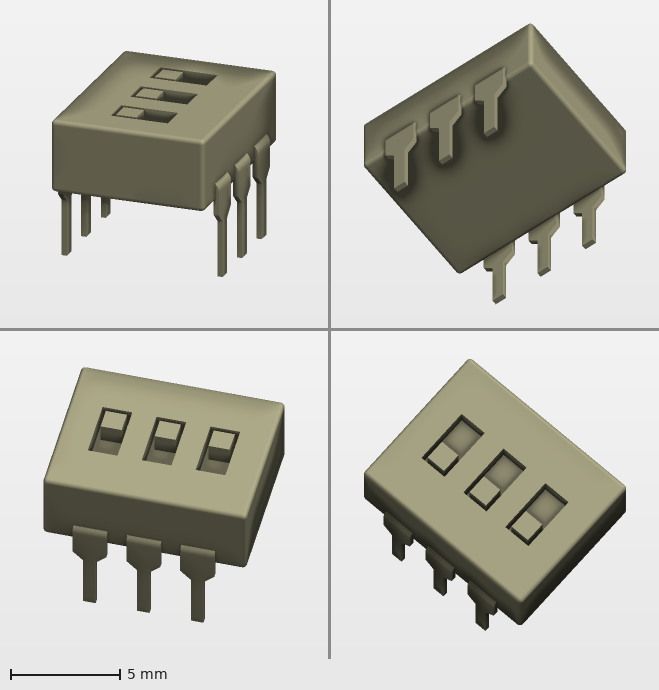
import cadquery as cq

HOUSING_LENGTH = 9.6
HOUSING_WIDTH = 7.5
HOUSING_HEIGHT = 3.5
EDGE_RADIUS = 0.2

POSITION_COUNT = 3
POSITION_PITCH = 2.54
POSITIONS_Y = [
    (index - (POSITION_COUNT - 1) / 2) * POSITION_PITCH
    for index in range(POSITION_COUNT)
]

KNOB_SIZE = 1.0
KNOB_GAP = 0.2
WINDOW_LENGTH = 2.8
WINDOW_WIDTH = KNOB_SIZE + 2 * KNOB_GAP
WINDOW_DEPTH = 0.9
FLOOR_Z = HOUSING_HEIGHT - WINDOW_DEPTH
KNOB_X = -WINDOW_LENGTH / 2 + KNOB_GAP + KNOB_SIZE / 2

PLATE_THICKNESS = 0.5
PLATE_MARGIN = 0.2
PLATE_LENGTH = 2 * POSITIONS_Y[-1] + WINDOW_WIDTH + 2 * PLATE_MARGIN
PLATE_WIDTH = WINDOW_LENGTH + 2 * PLATE_MARGIN

OVERALL_HEIGHT = 7.35
PIN_SPAN = 7.87
PIN_THICKNESS = 0.25
PIN_WIDTH = 1.6
BEND_RADIUS = 2 * PIN_THICKNESS
BEND_Z = 0.5
TIP_WIDTH = 0.6
TIP_LENGTH = 2.72
TIP_BOTTOM_Z = HOUSING_HEIGHT - OVERALL_HEIGHT
TAPER_HEIGHT = 0.48
TAPER_BOTTOM_Z = TIP_BOTTOM_Z + TIP_LENGTH
TAPER_TOP_Z = TAPER_BOTTOM_Z + TAPER_HEIGHT


def box_from(length_x, length_y, height, x, y, bottom_z):
    """Box centred on (x, y) that stands on bottom_z."""
    box = cq.Workplane("XY").box(length_x, length_y, height, centered=(True, True, False))
    return box.translate((x, y, bottom_z))


def make_carrier():
    """Carrier plate with one square knob per switch position."""
    carrier = box_from(PLATE_WIDTH, PLATE_LENGTH, PLATE_THICKNESS, 0, 0, FLOOR_Z - PLATE_THICKNESS)
    for y in POSITIONS_Y:
        carrier = carrier.union(box_from(KNOB_SIZE, KNOB_SIZE, WINDOW_DEPTH, KNOB_X, y, FLOOR_Z))
    return carrier


def make_pin(y, turn):
    """Pin at position y on the -X side, turned about Z by the given angle in degrees."""
    outer_x = -PIN_SPAN / 2
    inner_x = outer_x + PIN_THICKNESS
    bend_x = outer_x + BEND_RADIUS
    inner_radius = BEND_RADIUS - PIN_THICKNESS

    strip = (
        cq.Workplane("XZ")
        .moveTo(outer_x, TIP_BOTTOM_Z)
        .lineTo(outer_x, BEND_Z)
        .radiusArc((bend_x, BEND_Z + BEND_RADIUS), BEND_RADIUS)
        .lineTo(bend_x, BEND_Z + inner_radius)
        .radiusArc((inner_x, BEND_Z), -inner_radius)
        .lineTo(inner_x, TIP_BOTTOM_Z)
        .close()
        .extrude(PIN_WIDTH / 2, both=True)
    )

    flat_shape = (
        cq.Workplane("YZ", origin=(outer_x, 0, 0))
        .moveTo(-PIN_WIDTH / 2, BEND_Z + BEND_RADIUS)
        .lineTo(-PIN_WIDTH / 2, TAPER_TOP_Z)
        .lineTo(-TIP_WIDTH / 2, TAPER_BOTTOM_Z)
        .lineTo(-TIP_WIDTH / 2, TIP_BOTTOM_Z)
        .lineTo(TIP_WIDTH / 2, TIP_BOTTOM_Z)
        .lineTo(TIP_WIDTH / 2, TAPER_BOTTOM_Z)
        .lineTo(PIN_WIDTH / 2, TAPER_TOP_Z)
        .lineTo(PIN_WIDTH / 2, BEND_Z + BEND_RADIUS)
        .close()
        .extrude(BEND_RADIUS)
    )
    pin = strip.intersect(flat_shape)
    return pin.rotate((0, 0, 0), (0, 0, 1), turn).translate((0, y, 0))


def make_housing(carrier, pins):
    """Rounded block with the windows and close-fitting seats for the carrier and the pins."""
    housing = box_from(HOUSING_WIDTH, HOUSING_LENGTH, HOUSING_HEIGHT, 0, 0, 0).edges().fillet(EDGE_RADIUS)
    for y in POSITIONS_Y:
        housing = housing.cut(box_from(WINDOW_LENGTH, WINDOW_WIDTH, WINDOW_DEPTH, 0, y, FLOOR_Z))
    housing = housing.cut(carrier)
    for pin in pins:
        housing = housing.cut(pin)
    return housing


carrier = make_carrier()
pins = [make_pin(y, turn) for turn in (0, 180) for y in POSITIONS_Y]
housing = make_housing(carrier, pins)

result = cq.Compound.makeCompound([housing.val(), carrier.val(), *[pin.val() for pin in pins]])